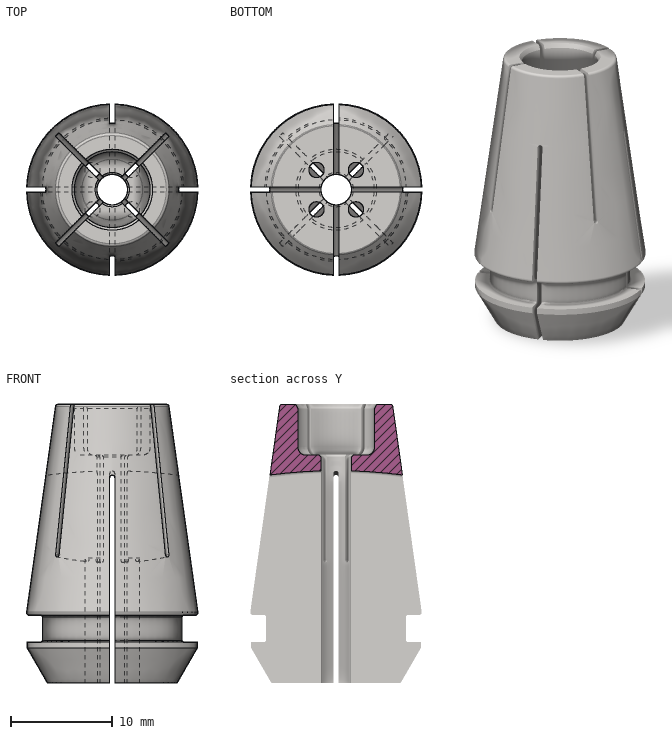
import cadquery as cq
import math

length = 27.5
max_radius = 16.9 / 2
taper_angle = math.radians(8)

rim_radius = 8.4
nose_angle = math.radians(30)
nose_cone_height = 3.46
nose_radius = rim_radius - nose_cone_height * math.tan(nose_angle)
rim_top = 4.05
groove_radius = 6.9
groove_top = 6.68

nose_fillet = 0.15
groove_fillet = 0.16
shoulder_fillet = 0.28
tail_fillet = 0.28

bore_radius = 3.0 / 2
bore_chamfer = 0.2
recess_radius = 3.75
recess_depth = 5.0
recess_floor_fillet = 0.75
recess_chamfer_width = 0.25
recess_chamfer_angle = math.radians(60)
recess_chamfer_height = recess_chamfer_width * math.tan(recess_chamfer_angle)

slot_width = 0.5
saw_radius = 50.05
lower_slot_top = 20.93
upper_slot_bottom = 11.85
upper_slot_angle = 45

relief_hole_radius = 1.5 / 2
relief_hole_offset = 2.75
relief_hole_depth = upper_slot_bottom + slot_width

fillet_trim = math.tan(taper_angle) + 1 / math.cos(taper_angle) - 1
shoulder_radius = max_radius + shoulder_fillet * fillet_trim
tail_radius = shoulder_radius - (length - groove_top) * math.tan(taper_angle)
recess_floor = length - recess_depth


def circles(body, radius, height):
    """Select the circular edges with this radius at this height."""
    tolerance = 0.0003

    def matches(edge):
        same_radius = abs(edge.radius() - radius) < tolerance
        return same_radius and abs(edge.Center().z - height) < tolerance

    return body.edges("%CIRCLE").filter(matches)


def revolve_profile(points):
    """Turn an (r, z) outline around the Z axis."""
    return cq.Workplane("XZ").polyline(points).close().revolve(360, (0, 0), (0, 1))


def make_body():
    body = revolve_profile([
        (0, 0),
        (nose_radius, 0),
        (rim_radius, nose_cone_height),
        (rim_radius, rim_top),
        (groove_radius, rim_top),
        (groove_radius, groove_top),
        (shoulder_radius, groove_top),
        (tail_radius, length),
        (0, length),
    ])
    body = circles(body, nose_radius, 0).fillet(nose_fillet)
    body = circles(body, groove_radius, rim_top).fillet(groove_fillet)
    body = circles(body, groove_radius, groove_top).fillet(groove_fillet)
    body = circles(body, shoulder_radius, groove_top).fillet(shoulder_fillet)
    return circles(body, tail_radius, length).fillet(tail_fillet)


def cut_bore(body):
    """Cut the recess and the through bore, then break their edges."""
    recess = cq.Workplane("XY", origin=(0, 0, recess_floor)).circle(recess_radius).extrude(recess_depth)
    bore = cq.Workplane("XY").circle(bore_radius).extrude(length)
    mouth = revolve_profile([
        (0, length - recess_chamfer_height),
        (recess_radius, length - recess_chamfer_height),
        (recess_radius + recess_chamfer_width, length),
        (0, length),
    ])
    body = body.cut(recess).cut(bore).cut(mouth)
    body = circles(body, recess_radius, recess_floor).fillet(recess_floor_fillet)
    return circles(body, bore_radius, recess_floor).chamfer(bore_chamfer)


def slotting_saw(rim_height, direction):
    """Round-edged disc in the XZ plane; its rim meets the Z axis at rim_height and its centre
    lies above (direction 1) or below (direction -1) that point."""
    straight_radius = saw_radius - slot_width / 2
    disc = (
        cq.Workplane("XY")
        .moveTo(0, -slot_width / 2)
        .lineTo(straight_radius, -slot_width / 2)
        .threePointArc((saw_radius, 0), (straight_radius, slot_width / 2))
        .lineTo(0, slot_width / 2)
        .close()
        .revolve(360, (0, 0), (0, 1))
    )
    return disc.translate((0, 0, rim_height + direction * saw_radius))


def turned(cutter, angle):
    """The cutter turned about the part axis by this many degrees."""
    return cutter.rotate((0, 0, 0), (0, 0, 1), angle)


lower_saw = slotting_saw(lower_slot_top, -1)
upper_saw = slotting_saw(upper_slot_bottom, 1)

relief_hole = (
    cq.Workplane("XY")
    .center(relief_hole_offset, 0)
    .circle(relief_hole_radius)
    .extrude(relief_hole_depth)
)

result = cut_bore(make_body())
for angle in (0, 90):
    result = result.cut(turned(lower_saw, angle))
    result = result.cut(turned(upper_saw, angle + upper_slot_angle))

for quarter_turn in (0, 90, 180, 270):
    result = result.cut(turned(relief_hole, quarter_turn + upper_slot_angle))